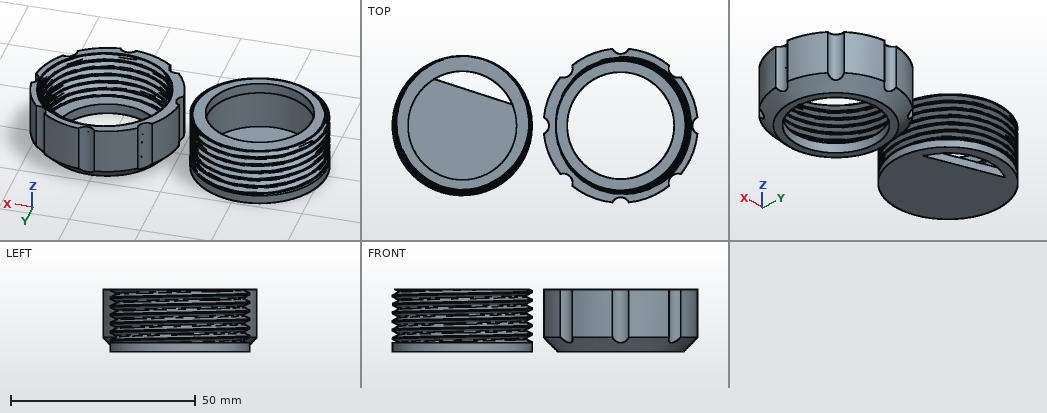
import cadquery as cq
import math

thread_pitch = 25.4 / 11
thread_major_d = 37.9
thread_minor_d = 34.94
flank_half_angle = 27.5
nut_thread_clearance = 0.4

total_height = 17.0
flange_d = 38.0
flange_height = 2.5
mouth_d = 29.5
mouth_height = 3.0
chamber_d = 31.5
floor_edge_distance = 9.7
floor_edge_direction = 72.0

nut_x = 43.0
nut_d = 42.0
nut_chamfer = 4.0
nut_hole_d = 29.0
nut_floor_thickness = 3.0
grip_count = 8
grip_radius = 2.5
grip_circle_radius = 22.0


def spiral_flank(start_radius, end_radius, start_angle, end_angle):
    """Radius changing evenly with angle: a straight thread flank cut square to the axis."""

    def point(t):
        radius = start_radius + t * (end_radius - start_radius)
        angle = start_angle + t * (end_angle - start_angle)
        return (radius * math.cos(angle), radius * math.sin(angle))

    return point


def polar(radius, angle):
    return (radius * math.cos(angle), radius * math.sin(angle))


def threaded_rod(z_start, z_end, clearance=0.0):
    """Right-hand threaded rod whose crest points to +X at z_start."""
    root_r = (thread_minor_d + clearance) / 2
    crest_r = (thread_major_d + clearance) / 2
    flank_rise = (crest_r - root_r) * math.tan(math.radians(flank_half_angle))
    flank_turn = 2 * math.pi * flank_rise / thread_pitch
    crest_half = (math.pi - flank_turn) / 2
    flank_end = crest_half + flank_turn

    section = (
        cq.Workplane("XY")
        .moveTo(*polar(crest_r, -crest_half))
        .threePointArc(polar(crest_r, 0), polar(crest_r, crest_half))
        .parametricCurve(spiral_flank(crest_r, root_r, crest_half, flank_end), makeWire=False)
        .threePointArc(polar(root_r, math.pi), polar(root_r, -flank_end))
        .parametricCurve(spiral_flank(root_r, crest_r, -flank_end, -crest_half), makeWire=False)
        .close()
    )
    length = z_end - z_start
    rod = section.twistExtrude(length, 360 * length / thread_pitch)
    return rod.translate((0, 0, z_start))


def cylinder(diameter, z_start, z_end):
    return cq.Workplane("XY").workplane(offset=z_start).circle(diameter / 2).extrude(z_end - z_start)


def floor_opening():
    """Opening through the housing floor: the segment of the chamber beyond a straight edge."""
    chamber_r = chamber_d / 2
    half_angle = math.acos(floor_edge_distance / chamber_r)
    return (
        cq.Workplane("XY")
        .moveTo(*polar(chamber_r, -half_angle))
        .threePointArc(polar(chamber_r, 0), polar(chamber_r, half_angle))
        .close()
        .extrude(flange_height)
        .rotate((0, 0, 0), (0, 0, 1), floor_edge_direction)
    )


def make_housing():
    mouth_z = total_height - mouth_height
    bore = cylinder(chamber_d, flange_height, mouth_z)
    bore = bore.union(cylinder(mouth_d, mouth_z, total_height))
    bore = bore.union(floor_opening())
    blank = threaded_rod(flange_height, total_height)
    blank = blank.union(cylinder(flange_d, 0, flange_height), clean=False)
    return blank.cut(bore, clean=False)


def make_ring_nut():
    nut = cylinder(nut_d, 0, total_height).faces("<Z").chamfer(nut_chamfer)
    thread = threaded_rod(nut_floor_thickness, total_height, nut_thread_clearance)
    nut = nut.cut(thread, clean=False)
    nut = nut.cut(cylinder(nut_hole_d, 0, nut_floor_thickness), clean=False)
    grips = (
        cq.Workplane("XY")
        .polarArray(grip_circle_radius, 0, 360, grip_count)
        .circle(grip_radius)
        .extrude(total_height)
    )
    return nut.cut(grips, clean=False).translate((nut_x, 0, 0))


housing = make_housing()
ring_nut = make_ring_nut()

result = cq.Compound.makeCompound([housing.solids().val(), ring_nut.solids().val()])